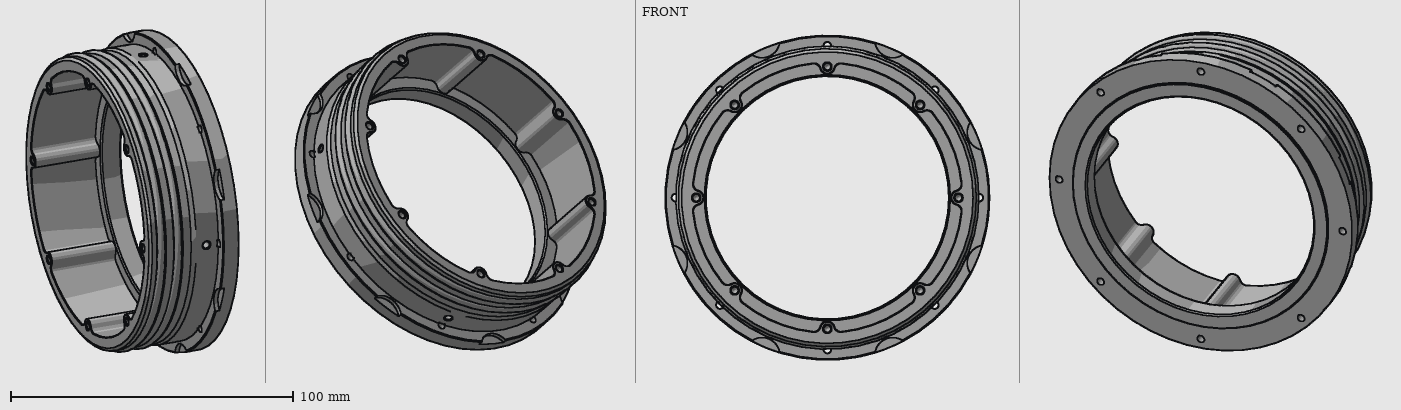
import cadquery as cq
import math

total_length = 33.2

flange_radius = 57.5
flange_front = 26.3
flange_back = 32.4
flange_edge_chamfer = 0.3

back_step_radius = 48.5
back_step_chamfer = 0.3

shoulder_radius = 53.4
shoulder_front = 17.7
barrel_radius = 52.8
taper_front = 16.0
mouth_chamfer_length = 0.8
mouth_chamfer_depth = 1.2

seal_positions = (4.5, 11.0)
seal_outer_radius = 53.7
seal_section_radius = 1.4
seal_groove_width = 3.7
seal_groove_radius = 51.3

bore_radius = 43.0
lip_chamfer = 0.6
cavity_radius = 47.7
cavity_depth = 25.2
cavity_mouth_chamfer = 0.2

boss_count = 8
boss_circle_radius = 46.5
boss_radius = 2.6
boss_flank_angle = 20.0
boss_fillet = 2.3
screw_hole_radius = 1.3
screw_hole_depth = 13.8
screw_hole_countersink = 0.3

drill_point_angle = 118.0

flange_hole_count = 8
flange_hole_circle_radius = 53.8
flange_hole_radius = 1.32
flange_hole_front = 25.9

scallop_count = 8
scallop_radius = 6.3
scallop_circle_radius = 60.5
scallop_depth = 1.6

radial_hole_count = 4
radial_hole_position = 21.7
radial_hole_radius = 1.3
radial_hole_countersink = 0.3


def ring_angles(count, start=0.0):
    """Evenly spaced angles in degrees around the axis."""
    return [start + 360.0 * index / count for index in range(count)]


def revolve_about_axis(sketch):
    """Turn a (radius, Y) outline into a ring about the Y axis."""
    return sketch.revolve(360, (0, 0, 0), (0, 1, 0))


def rod(circle_radius, angle, radius, start, end):
    """Round bar parallel to the axis, from Y = start to Y = end."""
    x = circle_radius * math.cos(math.radians(angle))
    z = circle_radius * math.sin(math.radians(angle))
    bar = cq.Solid.makeCylinder(radius, end - start, cq.Vector(x, start, z), cq.Vector(0, 1, 0))
    return cq.Workplane(bar)


def make_body():
    """Turned ring whose inside has the final bore, with the cavity still to be cut."""
    profile = cq.Workplane("XY").polyline([
        (bore_radius + lip_chamfer, 0),
        (barrel_radius - mouth_chamfer_depth, 0),
        (barrel_radius, mouth_chamfer_length),
        (barrel_radius, taper_front),
        (shoulder_radius, shoulder_front),
        (shoulder_radius, flange_front),
        (flange_radius - flange_edge_chamfer, flange_front),
        (flange_radius, flange_front + flange_edge_chamfer),
        (flange_radius, flange_back),
        (back_step_radius, flange_back),
        (back_step_radius, total_length - back_step_chamfer),
        (back_step_radius - back_step_chamfer, total_length),
        (bore_radius + lip_chamfer, total_length),
        (bore_radius, total_length - lip_chamfer),
        (bore_radius, cavity_depth + lip_chamfer),
        (bore_radius + lip_chamfer, cavity_depth),
    ]).close()
    return revolve_about_axis(profile)


def make_boss():
    """Round screw boss on the +X side, with flanks that widen towards the cavity wall."""
    flank = math.radians(boss_flank_angle)
    tangent_x = boss_circle_radius - boss_radius * math.sin(flank)
    tangent_z = boss_radius * math.cos(flank)
    root_z = tangent_z + (barrel_radius - tangent_x) * math.tan(flank)
    outline = cq.Workplane("XZ").moveTo(tangent_x, -tangent_z)
    outline = outline.threePointArc((boss_circle_radius - boss_radius, 0), (tangent_x, tangent_z))
    outline = outline.lineTo(barrel_radius, root_z).lineTo(barrel_radius, -root_z).close()
    return outline.extrude(-cavity_depth)


def make_cavity():
    """Pocket from the mouth that leaves the screw bosses standing."""
    cavity = rod(0, 0, cavity_radius, 0, cavity_depth)
    boss = make_boss()
    for angle in ring_angles(boss_count):
        cavity = cavity.cut(boss.rotate((0, 0, 0), (0, 1, 0), angle))
    return cavity.edges("|Y").fillet(boss_fillet)


def chamfer_cavity_mouth(body):
    mouth_wire = body.faces("<Y").val().innerWires()[0]
    return body.newObject(mouth_wire.Edges()).chamfer(cavity_mouth_chamfer)


def hole_cutter(radius, depth, countersink):
    """Drilled blind hole along +Z from the origin plane, with a countersunk mouth."""
    point_length = radius / math.tan(math.radians(drill_point_angle / 2))
    profile = cq.Workplane("XZ").polyline([
        (0, 0),
        (radius + countersink, 0),
        (radius, countersink),
        (radius, depth),
        (0, depth + point_length),
    ]).close()
    return profile.revolve(360, (0, 0, 0), (0, 1, 0))


def make_seal(position):
    """Ring of round section, flattened where it sits on the groove floor."""
    middle_radius = seal_outer_radius - seal_section_radius
    half_flat = math.sqrt(seal_section_radius ** 2 - (middle_radius - seal_groove_radius) ** 2)
    section = cq.Workplane("XY").moveTo(seal_groove_radius, position - half_flat)
    section = section.threePointArc(
        (seal_outer_radius, position),
        (seal_groove_radius, position + half_flat),
    )
    return revolve_about_axis(section.close())


def add_seals(body):
    for position in seal_positions:
        start = position - seal_groove_width / 2
        end = position + seal_groove_width / 2
        groove = rod(0, 0, flange_radius, start, end)
        groove = groove.cut(rod(0, 0, seal_groove_radius, 0, total_length))
        body = body.cut(groove).union(make_seal(position))
    return body


def cut_screw_holes(body):
    screw_hole = hole_cutter(screw_hole_radius, screw_hole_depth, screw_hole_countersink)
    screw_hole = screw_hole.rotate((0, 0, 0), (1, 0, 0), -90).translate((boss_circle_radius, 0, 0))
    for angle in ring_angles(boss_count):
        body = body.cut(screw_hole.rotate((0, 0, 0), (0, 1, 0), angle))
    return body


def cut_radial_holes(body):
    """Set-screw holes from the shoulder inwards to the screw holes of the bosses."""
    depth = shoulder_radius - boss_circle_radius
    radial_hole = hole_cutter(radial_hole_radius, depth, radial_hole_countersink)
    radial_hole = radial_hole.rotate((0, 0, 0), (1, 0, 0), 180)
    radial_hole = radial_hole.translate((0, radial_hole_position, shoulder_radius))
    for angle in ring_angles(radial_hole_count):
        body = body.cut(radial_hole.rotate((0, 0, 0), (0, 1, 0), angle))
    return body


def cut_flange(body):
    """Through holes beside the shoulder, and scallops half a pitch away in the rim."""
    for angle in ring_angles(flange_hole_count):
        hole = rod(flange_hole_circle_radius, angle, flange_hole_radius, flange_hole_front, total_length)
        body = body.cut(hole)
    for angle in ring_angles(scallop_count, 180.0 / scallop_count):
        scallop = rod(scallop_circle_radius, angle, scallop_radius, flange_front, flange_front + scallop_depth)
        body = body.cut(scallop)
    return body


result = make_body().cut(make_cavity())
result = chamfer_cavity_mouth(result)
result = add_seals(result)
result = cut_screw_holes(result)
result = cut_radial_holes(result)
result = cut_flange(result)